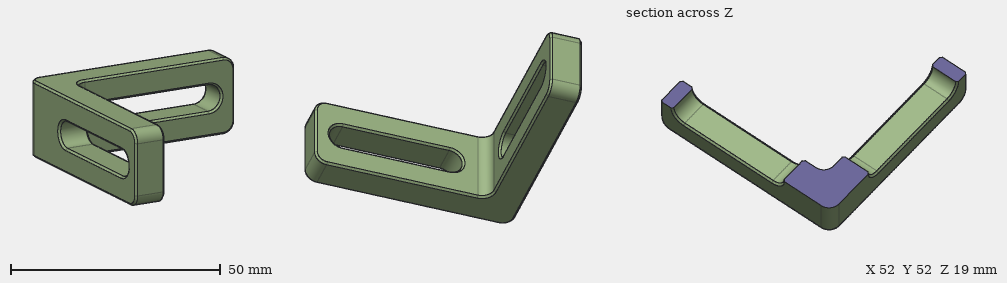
import cadquery as cq

leg_length = 52.0
width = 19.0
thickness = 8.0
corner_radius = 3.0
edge_chamfer = 0.5
slot_length = 33.5
slot_width = 6.6
slot_end_gap = 3.75

slot_center = leg_length - slot_end_gap - slot_length / 2


def leg(length_x, length_y):
    """Plain bar with one corner on the Z axis, centred on Z = 0."""
    return cq.Workplane("XY").box(length_x, length_y, width, centered=(False, False, True))


def slot_cutter():
    """Slot along X through the leg that lies on the X axis, chamfered at both mouths."""
    cutter = (
        cq.Workplane("XZ")
        .center(slot_center, 0)
        .slot2D(slot_length, slot_width)
        .extrude(-thickness)
    )
    mouth_length = slot_length + 2 * edge_chamfer
    mouth_width = slot_width + 2 * edge_chamfer
    for face_y, inward in ((0, -1), (thickness, 1)):
        mouth = (
            cq.Workplane("XZ", origin=(slot_center, face_y, 0))
            .slot2D(mouth_length, mouth_width)
            .extrude(inward * edge_chamfer, taper=45)
        )
        cutter = cutter.union(mouth)
    return cutter


def swap_legs(shape):
    """Mirror across the vertical plane X = Y, which exchanges the two legs."""
    return shape.rotate((0, 0, 0), (0, 0, 1), 90).mirror("YZ")


body = leg(leg_length, thickness).union(leg(thickness, leg_length))
outer_bend = cq.selectors.NearestToPointSelector((0, 0, 0))
inner_bend = cq.selectors.NearestToPointSelector((thickness, thickness, 0))
body = body.edges("|Z").edges(outer_bend).fillet(corner_radius)
body = body.edges("|Z").edges(inner_bend).fillet(corner_radius)

body = body.faces(">X").edges("|Y").fillet(corner_radius)
body = body.faces(">Y").edges("|X").fillet(corner_radius)

outer_edge = cq.selectors.NearestToPointSelector((leg_length / 2, 0, width / 2))
inner_edge = cq.selectors.NearestToPointSelector((leg_length / 2, thickness, width / 2))
body = body.edges("|X").edges(outer_edge).chamfer(edge_chamfer)
body = body.edges("|X").edges(inner_edge).chamfer(edge_chamfer)

slot = slot_cutter()
result = body.cut(slot).cut(swap_legs(slot))